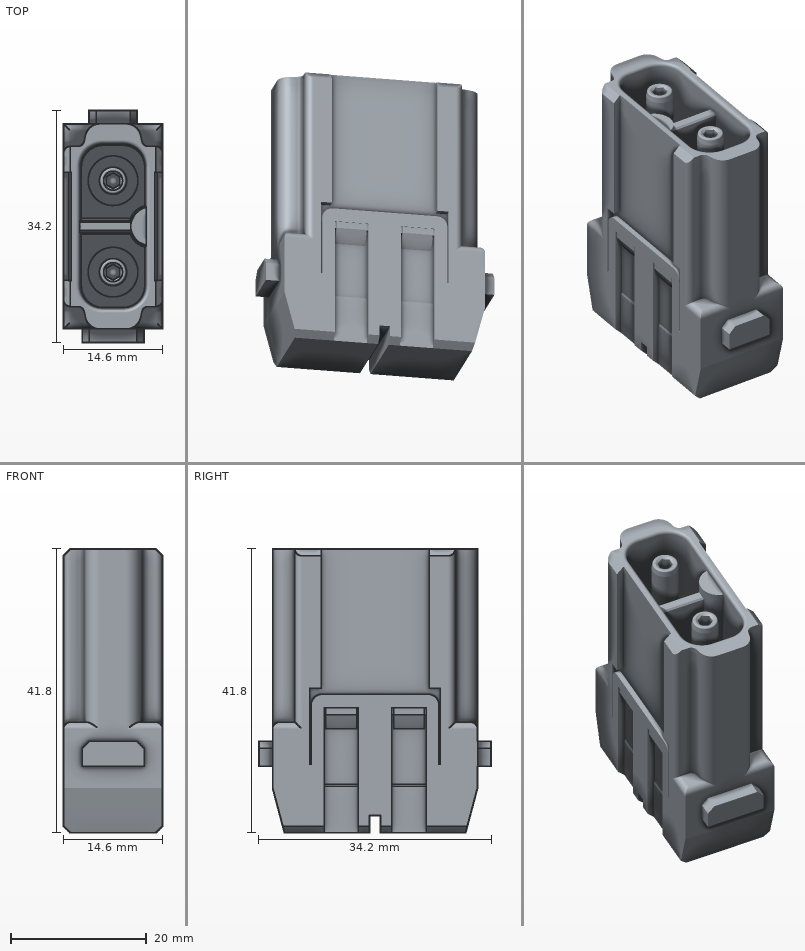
import cadquery as cq
import math

height = 41.8
body_half_x = 7.295
body_half_y = 15.1
edge_break = 1.0
ledge_z = 16.3
taper_z = 6.6
foot_half_y = 13.35

notch_y = 11.8
end_flat_x = 2.0
shoulder_radius = 2.1
shoulder_end_y = 13.45
notch_inner_y = 12.55

cavity_half_x = 4.95
cavity_half_y = 12.2
cavity_corner = 3.43
moulding_draft = 0.6
cavity_floor_z = 15.3
lip_radius = 0.5
pin_y = 6.75
pin_top_z = 41.1
pin_diameter = 4.0
pin_tip_length = 0.9
pin_tip_diameter = 3.68
pin_rounding = 0.2
socket_flats = 2.0
socket_depth = 5.0
socket_mouth_diameter = 2.8
socket_mouth_depth = 0.25
seat_diameter = 7.3
seat_height = 0.2
key_diameter = 6.25
key_axis_x = 5.48
key_top_z = 40.8
rib_top_z = 39.3
rib_top_half = 0.6
rib_break = 0.25
rib_root_flare = 0.35

panel_half_y = 7.95
panel_depth = 1.15
panel_step_z = 21.28
tab_slot_half_y = 9.6
tab_slot_width = 0.2
tab_slot_end_z = 10.07
tab_top_z = 20.4
tab_corner = 1.55
tab_thickness = 0.8
groove_y = 4.97
groove_width = 5.05
groove_top_z = 18.4
groove_foot_depth = edge_break
groove_head_depth = 0.2
groove_step_top_z = 7.15
groove_step_bottom_z = 6.85
catch_width = 4.5
catch_edge_z = 17.45
catch_bottom_z = 15.3
catch_setback = 0.1

notch_width = 1.6
notch_height = 2.55
lug_bottom_z = 9.8
lug_top_z = 13.5
lug_reach = 2.0
lug_break = 1.05
front_lug_half_x = 4.55
rear_lug_half_x = 3.55


def box(x_range, y_range, z_range):
    """Axis-aligned block between the given limits."""
    size = [high - low for low, high in (x_range, y_range, z_range)]
    corner = (x_range[0], y_range[0], z_range[0])
    return cq.Workplane("XY").box(*size, centered=False).translate(corner)


def both_sides(feature):
    """A feature of the -X face together with its mirror image on the +X face."""
    return feature.union(feature.mirror("YZ"))


def lower_housing():
    half_profile = [
        (0, 0), (foot_half_y, 0), (body_half_y, taper_z),
        (body_half_y, ledge_z), (0, ledge_z),
    ]
    housing = (
        cq.Workplane("YZ").polyline(half_profile).close()
        .extrude(body_half_x, both=True)
    )
    housing = housing.union(housing.mirror("XZ"))
    housing = housing.faces(">Z").edges().fillet(edge_break)
    return housing.faces("<Z").edges("|Y").chamfer(edge_break)


def shroud():
    """Upright shroud with rounded ends and a rounded notch in every corner."""
    shoulder_y = body_half_y - shoulder_radius
    lean = math.asin((shoulder_end_y - shoulder_y) / shoulder_radius)
    middle = (math.pi / 2 + lean) / 2
    shoulder_mid = (
        end_flat_x + shoulder_radius * math.cos(middle),
        shoulder_y + shoulder_radius * math.sin(middle),
    )
    shoulder_end = (end_flat_x + shoulder_radius * math.cos(lean), shoulder_end_y)
    notch_start = (
        shoulder_end[0] + (shoulder_end_y - notch_inner_y) * math.tan(lean),
        notch_inner_y,
    )
    notch_radius = (notch_inner_y - notch_y) / (1 - math.sin(lean))
    notch_centre_x = notch_start[0] + notch_radius * math.cos(lean)
    notch_mid = (
        notch_centre_x - notch_radius * math.cos(middle - lean),
        notch_y + notch_radius * (1 - math.sin(middle - lean)),
    )
    outer_start = (body_half_x - edge_break, notch_y)
    outer_end = (body_half_x, notch_y - edge_break)
    quarter = (
        cq.Workplane("XY")
        .lineTo(0, body_half_y)
        .lineTo(end_flat_x, body_half_y)
        .threePointArc(shoulder_mid, shoulder_end)
        .lineTo(*notch_start)
        .threePointArc(notch_mid, (notch_centre_x, notch_y))
        .lineTo(*outer_start)
        .radiusArc(outer_end, edge_break)
        .lineTo(body_half_x, 0)
        .close()
        .extrude(height)
    )
    half = quarter.union(quarter.mirror("YZ"))
    whole = half.union(half.mirror("XZ"))
    upper = whole.intersect(
        box((-body_half_x, body_half_x), (-body_half_y, body_half_y), (cavity_floor_z, height))
    )
    top_break = (
        cq.Workplane("XZ")
        .polyline([
            (-body_half_x, height - edge_break), (-body_half_x, height),
            (-body_half_x + edge_break, height),
        ]).close().extrude(body_half_y, both=True)
    )
    return upper.cut(both_sides(top_break))


def cavity():
    opening = (
        cq.Sketch().rect(2 * cavity_half_x, 2 * cavity_half_y)
        .vertices().fillet(cavity_corner)
    )
    return (
        cq.Workplane("XY").workplane(offset=height).placeSketch(opening)
        .extrude(cavity_floor_z - height, taper=moulding_draft)
    )


def contact(y):
    """Contact pin with a hexagon socket in its tip, standing on a low round seat."""
    seat = (
        cq.Workplane("XY", origin=(0, y, cavity_floor_z))
        .circle(seat_diameter / 2).extrude(seat_height)
    )
    half_profile = [
        (0, cavity_floor_z), (pin_diameter / 2, cavity_floor_z),
        (pin_diameter / 2, pin_top_z - pin_tip_length),
        (pin_tip_diameter / 2, pin_top_z), (0, pin_top_z),
    ]
    pin = (
        cq.Workplane("XZ", origin=(0, y, 0)).polyline(half_profile).close()
        .revolve(360, (0, 0, 0), (0, 1, 0))
        .faces(">Z").edges().fillet(pin_rounding)
    )
    tip = cq.Workplane("XY", origin=(0, y, pin_top_z)).transformed(rotate=(0, 0, 90))
    socket_corners = 2 * socket_flats / math.sqrt(3)
    socket = tip.polygon(6, socket_corners).extrude(-socket_depth)
    mouth_narrowing = (socket_mouth_diameter - socket_flats) / 2
    mouth_taper = math.degrees(math.atan2(mouth_narrowing, socket_mouth_depth))
    mouth = tip.circle(socket_mouth_diameter / 2).extrude(-socket_mouth_depth, taper=mouth_taper)
    return seat.union(pin.cut(socket).cut(mouth))


def divider():
    """Half-round coding key on the +X wall and the rib that runs to the -X wall."""
    wall_limits = box(
        (-cavity_half_x, cavity_half_x), (-cavity_half_y, cavity_half_y), (cavity_floor_z, height)
    )
    key = (
        cq.Workplane("XY", origin=(key_axis_x, 0, cavity_floor_z))
        .circle(key_diameter / 2).extrude(key_top_z - cavity_floor_z, taper=moulding_draft)
    )
    shoulder_half = rib_top_half + rib_break
    root_half = shoulder_half + rib_root_flare
    rib = (
        cq.Workplane("YZ", origin=(-cavity_half_x, 0, 0))
        .polyline([
            (-root_half, cavity_floor_z), (-shoulder_half, cavity_floor_z + rib_root_flare),
            (-shoulder_half, rib_top_z - rib_break), (-rib_top_half, rib_top_z),
            (rib_top_half, rib_top_z), (shoulder_half, rib_top_z - rib_break),
            (shoulder_half, cavity_floor_z + rib_root_flare), (root_half, cavity_floor_z),
        ]).close().extrude(cavity_half_x + key_axis_x)
    )
    return key.union(rib).intersect(wall_limits)


def side_recess():
    """Recessed panel of the -X face and the clearance round the tab below it."""
    depth_range = (-body_half_x, -body_half_x + panel_depth)
    panel = box(depth_range, (-panel_half_y, panel_half_y), (panel_step_z, height))
    clearance = box(
        depth_range, (-tab_slot_half_y, tab_slot_half_y), (tab_slot_end_z, panel_step_z)
    )
    tab_half_y = tab_slot_half_y - tab_slot_width
    tab = box(
        (-body_half_x, -body_half_x + tab_thickness),
        (-tab_half_y, tab_half_y),
        (tab_slot_end_z, tab_top_z),
    ).edges("|X and >Z").fillet(tab_corner)
    tab_root = box(depth_range, (-tab_half_y, tab_half_y), (tab_slot_end_z, groove_top_z))
    return panel.union(clearance.cut(tab).cut(tab_root))


def groove(y):
    """Vertical groove of the -X face, a little shallower at its foot and shallow at its head."""
    upper_x = -body_half_x + panel_depth
    head_x = -body_half_x + groove_head_depth
    foot_x = -body_half_x + groove_foot_depth
    return (
        cq.Workplane("XZ", origin=(0, y, 0))
        .polyline([
            (-body_half_x, 0), (foot_x, 0), (foot_x, groove_step_bottom_z),
            (upper_x, groove_step_top_z), (upper_x, catch_edge_z),
            (head_x, catch_edge_z), (head_x, groove_top_z), (-body_half_x, groove_top_z),
        ]).close().extrude(groove_width / 2, both=True)
    )


def latch_catch(y):
    """Catch at the top of a groove, with an underside sloping back to the groove floor."""
    floor_x = -body_half_x + panel_depth
    outer_x = -body_half_x + catch_setback
    return (
        cq.Workplane("XZ", origin=(0, y, 0))
        .polyline([
            (floor_x, catch_bottom_z), (outer_x, catch_edge_z),
            (outer_x, groove_top_z), (floor_x, groove_top_z),
        ]).close().extrude(catch_width / 2, both=True)
    )


def end_lug(half_x, direction):
    """Lug on one end wall with its two upper corners broken."""
    outer_y = direction * (body_half_y + lug_reach)
    root_y = direction * (body_half_y - edge_break)
    return box(
        (-half_x, half_x), sorted((root_y, outer_y)), (lug_bottom_z, lug_top_z)
    ).edges("|Y and >Z").chamfer(lug_break)


hollow_shroud = shroud().cut(cavity())
lip_edges = hollow_shroud.faces(">Z").wires(cq.selectors.LengthNthSelector(0))
hollow_shroud = lip_edges.fillet(lip_radius)

result = lower_housing().cut(cavity()).union(hollow_shroud)
result = result.union(divider())
for pin_position in (-pin_y, pin_y):
    result = result.union(contact(pin_position))

result = result.cut(both_sides(side_recess()))
for groove_position in (-groove_y, groove_y):
    result = result.cut(both_sides(groove(groove_position)))
    result = result.union(both_sides(latch_catch(groove_position)))

result = result.cut(
    box((-body_half_x, body_half_x), (-notch_width / 2, notch_width / 2), (0, notch_height))
)
result = result.union(end_lug(front_lug_half_x, -1))
result = result.union(end_lug(rear_lug_half_x, 1))